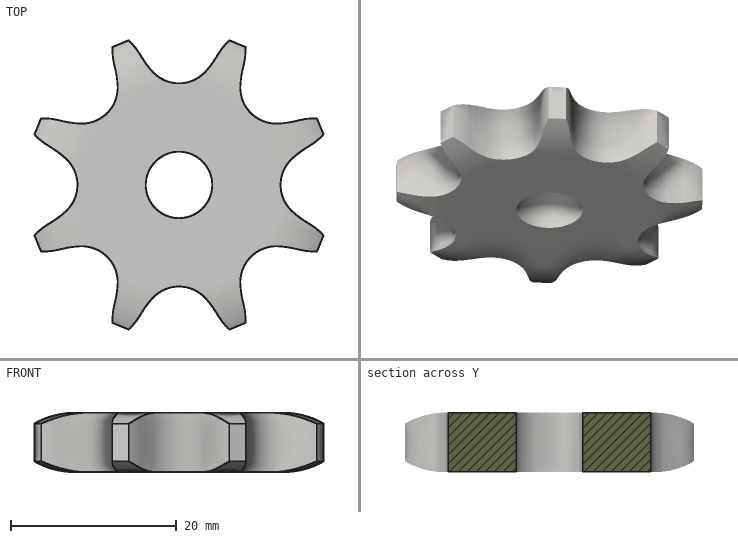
import cadquery as cq
import math

tooth_count = 8
pitch_diameter = 33.2
roller_diameter = 8.53
roller_clearance = 0.05
overall_width = 34.95
thickness = 7.2
bore_diameter = 8.0
flat_radius = 12.8
crown_radius = 12.85

seat_angle = 35 + 60 / tooth_count
working_angle = 18 - 56 / tooth_count
topping_angle = 17 - 64 / tooth_count
working_center_offset = 0.8 * roller_diameter
topping_center_offset = 1.4 * roller_diameter

pitch_radius = pitch_diameter / 2
seat_radius = 0.5025 * roller_diameter + roller_clearance
working_radius = seat_radius + working_center_offset
flank_length = (topping_center_offset * math.sin(math.radians(topping_angle))
                - working_center_offset * math.sin(math.radians(working_angle)))
topping_radius = (working_center_offset * math.cos(math.radians(working_angle))
                  + topping_center_offset * math.cos(math.radians(topping_angle))
                  - working_radius)


def offset_point(start, distance, angle):
    """Point at a distance from start, in the direction given in degrees."""
    return (start[0] + distance * math.cos(math.radians(angle)),
            start[1] + distance * math.sin(math.radians(angle)))


def flank_points():
    """Right side of the gap centered on +Y, from the seating arc out to the tip."""
    roller_center = (0, pitch_radius)
    seat_end = offset_point(roller_center, seat_radius, -seat_angle)
    working_center = offset_point(roller_center, working_center_offset, 180 - seat_angle)
    flank_normal = working_angle - seat_angle
    working_mid = offset_point(working_center, working_radius, -seat_angle + working_angle / 2)
    working_end = offset_point(working_center, working_radius, flank_normal)
    flank_end = offset_point(working_end, flank_length, flank_normal + 90)
    topping_center = offset_point(flank_end, topping_radius, flank_normal)
    tip_rise = overall_width / 2 - topping_center[1]
    end_direction = 180 - math.degrees(math.asin(tip_rise / topping_radius))
    mid_direction = (180 + flank_normal + end_direction) / 2
    topping_mid = offset_point(topping_center, topping_radius, mid_direction)
    tip = offset_point(topping_center, topping_radius, end_direction)
    return [seat_end, working_mid, working_end, flank_end, topping_mid, tip]


def rotate(point, angle):
    """Point turned about the sprocket axis by an angle in degrees."""
    start_angle = math.degrees(math.atan2(point[1], point[0]))
    return offset_point((0, 0), math.hypot(*point), start_angle + angle)


def toothed_plate():
    right_side = flank_points()
    left_side = [(-x, y) for x, y in right_side]
    seat_bottom = (0, pitch_radius - seat_radius)
    outline = cq.Workplane("XY").workplane(offset=-thickness / 2).moveTo(*left_side[-1])
    for gap in range(tooth_count):
        turn = -gap * 360 / tooth_count
        (left_seat_end, left_working_mid, left_working_end,
         left_flank_end, left_topping_mid, left_tip) = [rotate(point, turn) for point in left_side]
        (right_seat_end, right_working_mid, right_working_end,
         right_flank_end, right_topping_mid, right_tip) = [rotate(point, turn) for point in right_side]
        if gap > 0:
            outline = outline.lineTo(*left_tip)
        outline = (
            outline.threePointArc(left_topping_mid, left_flank_end)
            .lineTo(*left_working_end)
            .threePointArc(left_working_mid, left_seat_end)
            .threePointArc(rotate(seat_bottom, turn), right_seat_end)
            .threePointArc(right_working_mid, right_working_end)
            .lineTo(*right_flank_end)
            .threePointArc(right_topping_mid, right_tip)
        )
    return outline.close().extrude(thickness)


def crown_blank():
    """Disc with flat faces whose rim curves inward tangentially on both sides."""
    half = thickness / 2
    tip_clearance = 0.35
    rim_radius = math.hypot(*flank_points()[-1]) + tip_clearance

    def crown_height(radius):
        return half - crown_radius + math.sqrt(crown_radius**2 - (radius - flat_radius)**2)

    mid_radius = (flat_radius + rim_radius) / 2
    return (
        cq.Workplane("XZ")
        .moveTo(0, -half)
        .lineTo(flat_radius, -half)
        .threePointArc((mid_radius, -crown_height(mid_radius)), (rim_radius, -crown_height(rim_radius)))
        .lineTo(rim_radius, crown_height(rim_radius))
        .threePointArc((mid_radius, crown_height(mid_radius)), (flat_radius, half))
        .lineTo(0, half)
        .close()
        .revolve(360, (0, 0, 0), (0, 1, 0))
    )


bore = cq.Workplane("XY").circle(bore_diameter / 2).extrude(thickness, both=True)
result = toothed_plate().intersect(crown_blank()).cut(bore)